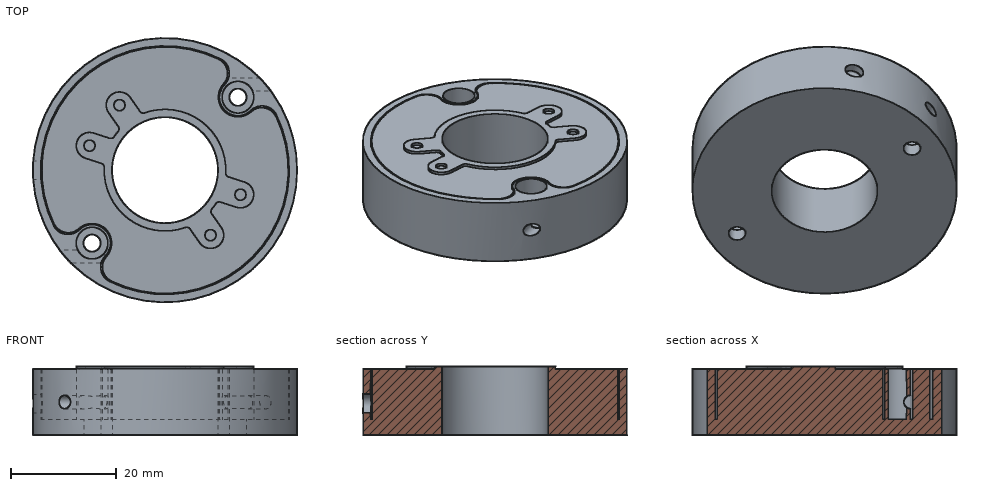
import cadquery as cq
import math

body_radius = 25.0
body_height = 12.5
bore_radius = 10.0
floor_thickness = 3.0

mount_circle_radius = 19.5
mount_angles = (45.0, 225.0)
mount_hole_radius = 1.6
counterbore_radius = 3.0

rim_inner_radius = 23.5
mount_collar_radius = 3.5
lobe_radius = 3.0
gap_width = 0.2

plate_height = 0.5
plate_radius = 11.5
arm_angles = (125.0, 162.0, 305.0, 342.0)
arm_reach = 15.0
arm_radius = 2.5
arm_hole_radius = 1.05
arm_root_fillet = 0.75

cable_hole_radius = 1.75
cable_hole_y = 0.0
cable_hole_z = 6.0
screw_hole_radius = 1.25
screw_hole_y = -16.25
screw_hole_z = body_height / 2


def polar(radius, angle, center=(0.0, 0.0)):
    """Point at a distance and an angle in degrees from a center."""
    turn = math.radians(angle)
    return (center[0] + radius * math.cos(turn), center[1] + radius * math.sin(turn))


def triangle_angle(opposite, side_a, side_b):
    """Angle in degrees between two sides of a triangle."""
    return math.degrees(math.acos((side_a**2 + side_b**2 - opposite**2) / (2 * side_a * side_b)))


def core_prism(inset, bottom, top):
    """Round prism bending around both mounting holes, with its long sides and collars inset."""
    outer = rim_inner_radius - inset
    collar = mount_collar_radius + inset

    lobe_distance = outer - lobe_radius
    collar_to_lobe = collar + lobe_radius
    lobe_offset = triangle_angle(collar_to_lobe, lobe_distance, mount_circle_radius)
    collar_offset = triangle_angle(lobe_distance, collar_to_lobe, mount_circle_radius)
    lobe_sweep = lobe_offset + collar_offset

    outline = cq.Workplane("XY", origin=(0, 0, bottom))
    outline = outline.moveTo(*polar(outer, mount_angles[-1] + lobe_offset))
    for angle in mount_angles:
        mount = polar(mount_circle_radius, angle)
        first_lobe = polar(lobe_distance, angle - lobe_offset)
        second_lobe = polar(lobe_distance, angle + lobe_offset)
        outline = (
            outline
            .threePointArc(polar(outer, angle - 90), polar(outer, angle - lobe_offset))
            .threePointArc(
                polar(lobe_radius, angle - lobe_offset + lobe_sweep / 2, first_lobe),
                polar(collar, angle + 180 + collar_offset, mount),
            )
            .threePointArc(
                polar(collar, angle + 180, mount),
                polar(collar, angle + 180 - collar_offset, mount),
            )
            .threePointArc(
                polar(lobe_radius, angle + lobe_offset - lobe_sweep / 2, second_lobe),
                polar(outer, angle + lobe_offset),
            )
        )
    return outline.close().extrude(top - bottom)


def raised_plate():
    """Ring with radial, round-ended arms, on top of the housing."""
    base = cq.Workplane("XY", origin=(0, 0, body_height))
    plate = base.circle(plate_radius).extrude(plate_height)
    for angle in arm_angles:
        arm = (
            base.center(arm_reach / 2, 0).rect(arm_reach, 2 * arm_radius).extrude(plate_height)
            .union(base.center(arm_reach, 0).circle(arm_radius).extrude(plate_height))
            .rotate((0, 0, 0), (0, 0, 1), angle)
        )
        plate = plate.union(arm)

    root_zone = cq.selectors.BoxSelector(
        (-plate_radius, -plate_radius, body_height),
        (plate_radius, plate_radius, body_height + plate_height),
    )
    plate = plate.edges("|Z").edges(root_zone).fillet(arm_root_fillet)

    hole_centers = [polar(arm_reach, angle) for angle in arm_angles]
    return plate.cut(base.pushPoints(hole_centers).circle(arm_hole_radius).extrude(plate_height))


def side_hole(radius, y, z):
    """Hole along X from the -X side that stops at the wall of the core."""
    drill = cq.Workplane("YZ", origin=(-body_radius, y, z)).circle(radius).extrude(body_radius)
    return drill.cut(core_prism(gap_width, 0, body_height))


def half_turn(shape):
    """Copy turned 180 degrees about the Z axis."""
    return shape.rotate((0, 0, 0), (0, 0, 1), 180)


body = cq.Workplane("XY").circle(body_radius).extrude(body_height)

gap = core_prism(0, floor_thickness, body_height).cut(
    core_prism(gap_width, floor_thickness, body_height)
)
body = body.cut(gap)

mounts = [polar(mount_circle_radius, angle) for angle in mount_angles]
mount_points = cq.Workplane("XY").pushPoints(mounts)
body = body.cut(mount_points.circle(mount_hole_radius).extrude(body_height))
counterbore_points = cq.Workplane("XY", origin=(0, 0, floor_thickness)).pushPoints(mounts)
body = body.cut(counterbore_points.circle(counterbore_radius).extrude(body_height))

body = body.cut(side_hole(cable_hole_radius, cable_hole_y, cable_hole_z))
screw_hole = side_hole(screw_hole_radius, screw_hole_y, screw_hole_z)
body = body.cut(screw_hole).cut(half_turn(screw_hole))

bore = cq.Workplane("XY").circle(bore_radius).extrude(body_height + plate_height)
result = body.union(raised_plate()).cut(bore)